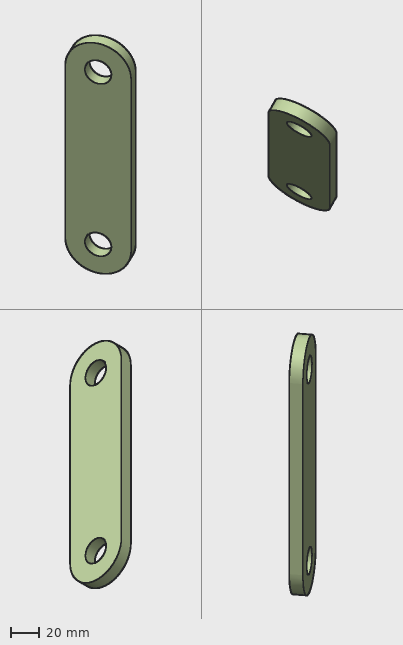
import cadquery as cq

length = 200.0
width = 50.0
thickness = 10.0
hole_diameter = 20.0

hole_spacing = length - width


def link_blank():
    """Round-ended bar standing along Z, centred on the origin."""
    return (
        cq.Workplane("XZ", origin=(0, thickness / 2, 0))
        .slot2D(length, width, angle=90)
        .extrude(thickness)
    )


def drill_pin_holes(bar):
    """Drill the two through holes along Y from the front face."""
    return (
        bar.faces("<Y")
        .workplane(origin=(0, 0, 0))
        .pushPoints([(0, -hole_spacing / 2), (0, hole_spacing / 2)])
        .hole(hole_diameter)
    )


result = drill_pin_holes(link_blank())